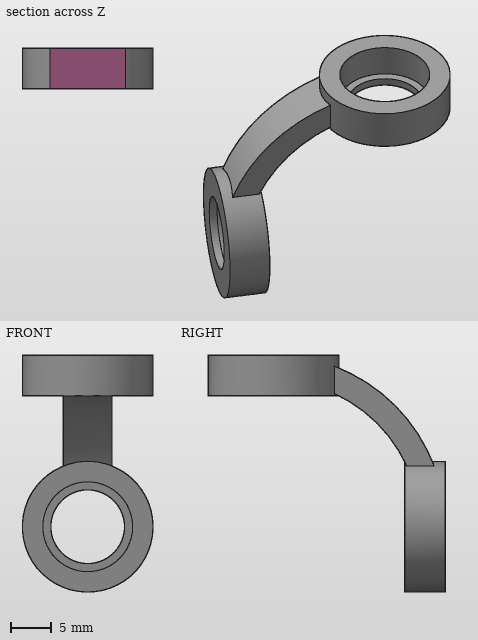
import cadquery as cq

overall_length = 29.0
ring_diameter = 16.0
ring_width = 5.0
seat_diameter = 11.0
bore_diameter = 9.0
lip_thickness = 1.0
arm_width = 6.0
arm_thickness = 3.1

ring_radius = ring_diameter / 2
arm_outer_radius = overall_length - ring_radius
arm_inner_radius = arm_outer_radius - arm_thickness

flat_ring_bottom = overall_length - ring_width

flat_ring_plane = cq.Plane(
    origin=(0, ring_radius, flat_ring_bottom), xDir=(1, 0, 0), normal=(0, 0, 1)
)
upright_ring_plane = cq.Plane(
    origin=(0, overall_length, ring_radius), xDir=(1, 0, 0), normal=(0, -1, 0)
)


def ring_blank(plane):
    """Solid disc standing on the lipped face of a ring."""
    return cq.Workplane(plane).circle(ring_radius).extrude(ring_width)


def stepped_bore(plane):
    """Through bore with a wider seat above a thin retaining lip."""
    bore = cq.Workplane(plane).circle(bore_diameter / 2).extrude(ring_width)
    seat = (
        cq.Workplane(plane)
        .workplane(offset=lip_thickness)
        .circle(seat_diameter / 2)
        .extrude(ring_width - lip_thickness)
    )
    return bore.union(seat)


def curved_arm():
    """Quarter of a flat hoop, centred where the two ring axes meet."""
    hoop = (
        cq.Workplane("YZ", origin=(-arm_width / 2, ring_radius, ring_radius))
        .circle(arm_outer_radius)
        .circle(arm_inner_radius)
        .extrude(arm_width)
    )
    quadrant = cq.Workplane("XY", origin=(0, ring_radius, ring_radius)).box(
        arm_width, arm_outer_radius, arm_outer_radius, centered=(True, False, False)
    )
    return hoop.intersect(quadrant)


result = curved_arm()
ring_planes = (flat_ring_plane, upright_ring_plane)
for ring_plane in ring_planes:
    result = result.union(ring_blank(ring_plane))
for ring_plane in ring_planes:
    result = result.cut(stepped_bore(ring_plane))